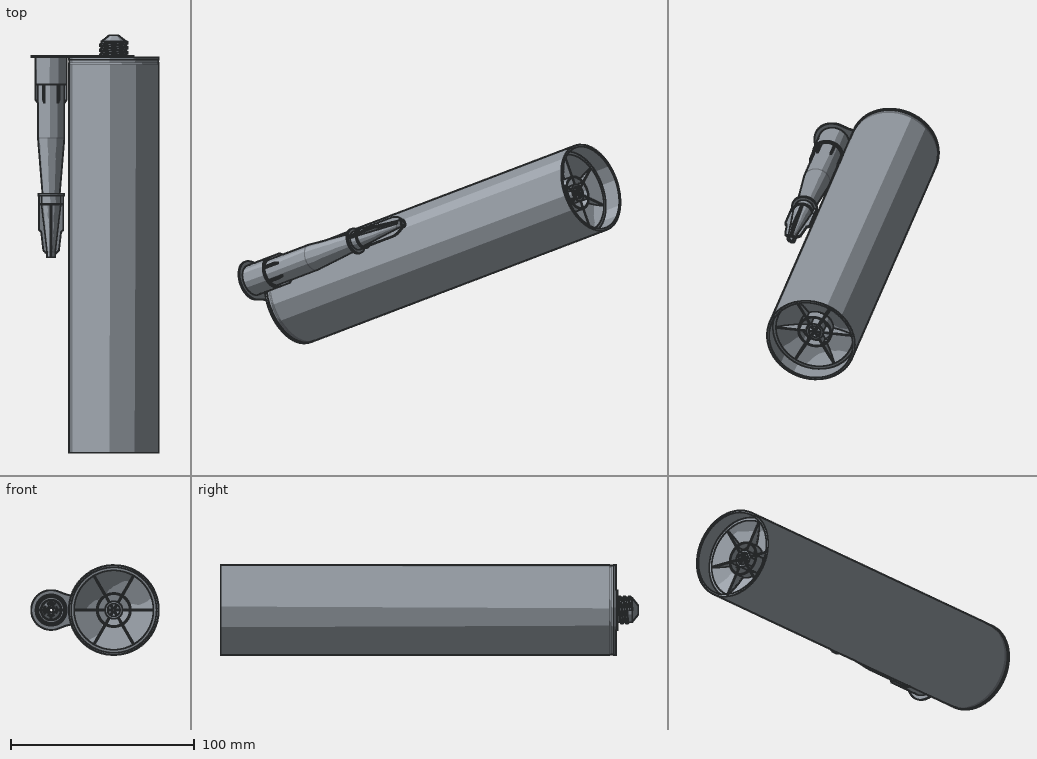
import cadquery as cq
import math

overall_length = 227.0

tube_radius = 49.0 / 2
bore_radius = 46.5 / 2
shoulder_y = 215.0
end_wall = 2.3
rim_length = 1.4
groove_length = 1.4
groove_runout = 1.1
groove_depth = 0.2

neck_radius = 13.5 / 2
neck_top_y = 223.5
tip_radius = 2.5
thread_radius = 15.0 / 2
thread_pitch = 2.7
thread_root_width = 2.0
thread_crest_width = 1.0
thread_turns = 2.5
thread_start_y = 216.0
thread_overlap = 0.2

piston_y = 9.5
piston_length = 9.0
dish_radius = 21.5
dish_depth = 6.8
web_thickness = 0.7
web_count = 6
ring_radius = 9.3
hub_radius = 9.5 / 2
hub_thickness = 1.4

nozzle_x = -34.0
strap_thickness = 1.0
strap_radius = 11.0
waist_radius = 30.0
strap_hole_radius = 16.0 / 2

cup_radius = 17.0 / 2
cup_end_y = 200.0
cup_chamfer = 0.5
barrel_radius = 14.5 / 2
barrel_end_y = 171.4
taper_end_radius = 9.5 / 2
collar_top_y = 141.0
collar_end_y = 139.8
collar_radius = 14.0 / 2
cap_radius = 5.2
cap_end_y = 135.5
ledge_radius = 5.7
ledge_thickness = 0.7
spout_radius = 2.3
spout_start_y = 109.5
spout_end_y = 106.2
nozzle_bore_radius = 1.1
fin_thickness = 1.0

grip_fin_thickness = 0.7
grip_fin_count = 6
grip_fin_straight_end_y = 192.0
grip_fin_end_y = 190.2

wing_radius = 13.5 / 2
wing_step_y = 121.2
wing_low_radius = 5.5
wing_low_y = 120.0
wing_tip_radius = 4.3
wing_tip_y = 110.0
wing_end_y = 108.0
keel_radius = 5.7
keel_straight_end_y = 113.5
keel_arc_mid = (4.65, 109.6)
keel_end_y = 107.0


def revolve_about_y(outline):
    """Revolve a closed (radius, Y) wire about the Y axis."""
    return outline.revolve(360, (0, 0), (0, 1))


def cylinder(radius, y_start, y_end):
    """Cylinder about the Y axis."""
    return cq.Workplane("XZ", origin=(0, y_start, 0)).circle(radius).extrude(y_start - y_end)


def plate_from_profile(outline, thickness):
    """Thin plate centred on the XY plane, cut to a closed (X, Y) wire."""
    return outline.extrude(thickness / 2, both=True)


def make_thread():
    """Helical ridge of trapezoid section, rooted slightly inside the neck, starting on its -X side."""
    root = neck_radius - thread_overlap
    helix = cq.Wire.makeHelix(thread_pitch, thread_pitch * thread_turns, root)
    section = cq.Workplane("XZ").polyline([
        (root, -thread_root_width / 2),
        (root, thread_root_width / 2),
        (thread_radius, thread_crest_width / 2),
        (thread_radius, -thread_crest_width / 2),
    ]).close()
    ridge = section.sweep(cq.Workplane(helix), isFrenet=True)
    ridge = ridge.rotate((0, 0, 0), (1, 0, 0), -90).rotate((0, 0, 0), (0, 1, 0), 180)
    return ridge.translate((0, thread_start_y, 0))


def make_cartridge():
    groove_top_y = shoulder_y - rim_length
    groove_end_y = groove_top_y - groove_length
    groove_radius = tube_radius - groove_depth
    outline = cq.Workplane("XY").polyline([
        (0, overall_length),
        (tip_radius, overall_length),
        (neck_radius, neck_top_y),
        (neck_radius, shoulder_y),
        (tube_radius, shoulder_y),
        (tube_radius, groove_top_y),
        (groove_radius, groove_top_y),
        (groove_radius, groove_end_y),
        (tube_radius, groove_end_y - groove_runout),
        (tube_radius, 0),
        (bore_radius, 0),
        (bore_radius, shoulder_y - end_wall),
        (0, shoulder_y - end_wall),
    ]).close()
    return revolve_about_y(outline).union(make_thread())


def make_piston():
    """Disc with a spherical dish in its rear face, stiffened by webs and two rings."""
    dish_bottom_y = piston_y + dish_depth
    dish_sphere_radius = (dish_radius**2 + dish_depth**2) / (2 * dish_depth)
    dish = (
        cq.Workplane("XY")
        .sphere(dish_sphere_radius)
        .translate((0, dish_bottom_y - dish_sphere_radius, 0))
    )
    disc = cylinder(bore_radius, piston_y, piston_y + piston_length)

    stiffeners = []
    for radius, thickness in ((ring_radius, web_thickness), (hub_radius, hub_thickness)):
        outer = cylinder(radius, piston_y, dish_bottom_y)
        inner = cylinder(radius - thickness, piston_y, dish_bottom_y)
        stiffeners.append(outer.cut(inner))
    for index in range(web_count // 2):
        web = cq.Workplane("XY").box(2 * dish_radius, dish_depth, web_thickness)
        web = web.translate((0, piston_y + dish_depth / 2, 0))
        stiffeners.append(web.rotate((0, 0, 0), (0, 1, 0), index * 360 / web_count))

    piston = disc.cut(dish)
    for stiffener in stiffeners:
        piston = piston.union(stiffener)
    return piston


def make_strap():
    """Plate from the neck to the nozzle, lying on the cartridge shoulder."""
    half_span = abs(nozzle_x) / 2
    waist_centre_z = math.sqrt((strap_radius + waist_radius)**2 - half_span**2)
    touch_share = strap_radius / (strap_radius + waist_radius)
    touch_x = half_span * touch_share
    touch_z = waist_centre_z * touch_share
    waist_z = waist_centre_z - waist_radius
    strap = (
        cq.Workplane("XZ", origin=(0, shoulder_y + strap_thickness, 0))
        .moveTo(nozzle_x + touch_x, touch_z)
        .threePointArc((nozzle_x + half_span, waist_z), (-touch_x, touch_z))
        .threePointArc((strap_radius, 0), (-touch_x, -touch_z))
        .threePointArc((nozzle_x + half_span, -waist_z), (nozzle_x + touch_x, -touch_z))
        .threePointArc((nozzle_x - strap_radius, 0), (nozzle_x + touch_x, touch_z))
        .close()
        .extrude(strap_thickness)
    )
    return strap.cut(cylinder(strap_hole_radius, shoulder_y, shoulder_y + strap_thickness))


def make_nozzle_shell():
    """Turned shape of the nozzle about the Y axis, without fins."""
    outline = cq.Workplane("XY").polyline([
        (0, shoulder_y),
        (cup_radius, shoulder_y),
        (cup_radius, cup_end_y + cup_chamfer),
        (cup_radius - cup_chamfer, cup_end_y),
        (barrel_radius, cup_end_y),
        (barrel_radius, barrel_end_y),
        (taper_end_radius, collar_top_y),
        (collar_radius, collar_top_y),
        (collar_radius, collar_end_y),
        (cap_radius, collar_end_y),
        (cap_radius, cap_end_y),
        (ledge_radius, cap_end_y),
        (ledge_radius, cap_end_y - ledge_thickness),
        (cap_radius, cap_end_y - ledge_thickness),
        (spout_radius, spout_start_y),
        (spout_radius, spout_end_y),
        (0, spout_end_y),
    ]).close()
    return revolve_about_y(outline)


def make_grip_fins():
    """Plates across the barrel, each giving two opposite fins."""
    outline = cq.Workplane("XY").polyline([
        (-cup_radius, cup_end_y + cup_chamfer),
        (cup_radius, cup_end_y + cup_chamfer),
        (cup_radius, grip_fin_straight_end_y),
        (barrel_radius, grip_fin_end_y),
        (-barrel_radius, grip_fin_end_y),
        (-cup_radius, grip_fin_straight_end_y),
    ]).close()
    plate = plate_from_profile(outline, grip_fin_thickness)
    step = 360 / grip_fin_count
    return [plate.rotate((0, 0, 0), (0, 1, 0), index * step) for index in range(grip_fin_count // 2)]


def make_wings():
    """Stepped wings on the two X sides of the spout."""
    half = [
        (wing_radius, collar_end_y),
        (wing_radius, wing_step_y),
        (wing_low_radius, wing_low_y),
        (wing_tip_radius, wing_tip_y),
        (spout_radius, wing_end_y),
    ]
    mirrored = [(-x, y) for x, y in reversed(half)]
    return plate_from_profile(cq.Workplane("XY").polyline(half + mirrored).close(), fin_thickness)


def make_keels():
    """Round-ended keels on the two Z sides of the spout."""
    arc_mid_radius, arc_mid_y = keel_arc_mid
    outline = (
        cq.Workplane("XY")
        .moveTo(-keel_radius, cap_end_y)
        .lineTo(keel_radius, cap_end_y)
        .lineTo(keel_radius, keel_straight_end_y)
        .threePointArc((arc_mid_radius, arc_mid_y), (spout_radius, keel_end_y))
        .lineTo(-spout_radius, keel_end_y)
        .threePointArc((-arc_mid_radius, arc_mid_y), (-keel_radius, keel_straight_end_y))
        .close()
    )
    return plate_from_profile(outline, fin_thickness).rotate((0, 0, 0), (0, 1, 0), 90)


def make_nozzle():
    nozzle = make_nozzle_shell()
    for fin in [*make_grip_fins(), make_wings(), make_keels()]:
        nozzle = nozzle.union(fin)
    bore = cylinder(nozzle_bore_radius, spout_end_y, shoulder_y + strap_thickness)
    nozzle = nozzle.translate((nozzle_x, 0, 0)).union(make_strap())
    return nozzle.cut(bore.translate((nozzle_x, 0, 0)))


cartridge = make_cartridge()
piston = make_piston()
nozzle = make_nozzle()

result = cq.Compound.makeCompound([body.solids().val() for body in (cartridge, piston, nozzle)])